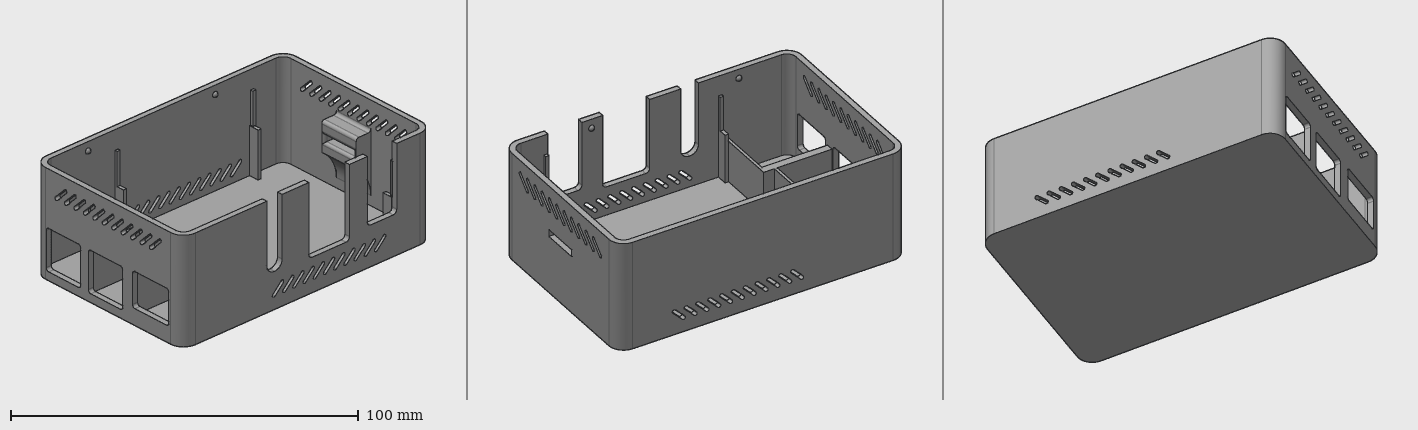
import cadquery as cq
import math

length = 98.0
width = 63.0
height = 36.7
wall = 2.0
floor_thickness = 2.0
corner_radius = 5.0
inner_x = width / 2 - wall
inner_y = length / 2 - wall

vent_count = 11
vent_span = 40.0
vent_width = 1.2
vent_slope = 45
end_vent_run = 3.8
end_vent_z = 30.2
side_vent_run = 3.2
side_vent_y = 8.4
side_vent_z = 6.4

window_radius = 1.0
windows = [
    (-26.2, -11.7, 2.9, 17.15),
    (-8.3, 6.2, 2.9, 17.15),
    (10.4, 25.7, 5.6, 17.7),
]

partition_top = 15.9
partition_thickness = 1.0
left_bays_y = -27.5
right_bay_y = -23.9
left_rib = (-11.1, -8.8)
right_rib = (6.8, 9.3)

notches = [
    (23.4, 34.9, 13.7, 1.4),
    (0.5, 16.4, 11.7, 1.4),
    (-16.0, -10.0, 12.5, 2.9),
]

support_thickness = 1.2
shelf_reach = 3.6
shelf_top = 18.3
stop_reach = 1.0
stop_top = 29.9
supports = [
    (-1, 33.7, 0.4),
    (-1, -19.0, 0.0),
    (1, 34.7, 0.4),
    (1, -23.9, 0.0),
]

detent_radius = 1.0
detent_inset = 0.1
detent_z = 33.6
detent_ys = (20.2, -29.6)

guide_x = (-7.3, 7.35)
guide_front_y = 41.4
guide_top = 26.2
guide_bottom = 15.7
guide_round = 1.1
guide_tail_z = 5.4
slot_x = (-6.2, 6.3)
slot_z = (19.3, 21.7)
slot_rim = 1.0


def box(x_range, y_range, z_range):
    """Axis-aligned block spanning the three (low, high) ranges."""
    sizes = [high - low for low, high in (x_range, y_range, z_range)]
    corner = (x_range[0], y_range[0], z_range[0])
    return cq.Workplane("XY").box(*sizes, centered=False).translate(corner)


def make_shell():
    outer = cq.Workplane("XY").rect(width, length).extrude(height).edges("|Z").fillet(corner_radius)
    cavity = (
        cq.Workplane("XY", origin=(0, 0, floor_thickness))
        .rect(2 * inner_x, 2 * inner_y)
        .extrude(height)
        .edges("|Z")
        .fillet(corner_radius - wall)
    )
    return outer.cut(cavity)


def make_vents(plane, center, run, half_depth):
    """Row of slanted slots, extruded both ways from the given plane through the case."""
    middle, level = center
    pitch = vent_span / (vent_count - 1)
    places = [(middle - vent_span / 2 + i * pitch, level) for i in range(vent_count)]
    slot_length = run / math.cos(math.radians(vent_slope)) + vent_width
    slots = cq.Workplane(plane).pushPoints(places).slot2D(slot_length, vent_width, vent_slope)
    return slots.extrude(half_depth, both=True)


def make_window(left, right, bottom, top):
    front_wall = (-length / 2, -inner_y)
    return box((left, right), front_wall, (bottom, top)).edges("|Y").fillet(window_radius)


def make_partition():
    front = -inner_y - wall / 2
    side = inner_x + wall / 2
    levels = (floor_thickness / 2, partition_top)
    left_wall = box((-side, right_rib[1]), (left_bays_y - partition_thickness, left_bays_y), levels)
    right_wall = box((right_rib[0], side), (right_bay_y - partition_thickness, right_bay_y), levels)
    rib_a = box(left_rib, (front, left_bays_y), levels)
    rib_b = box(right_rib, (front, right_bay_y), levels)
    return left_wall.union(right_wall).union(rib_a).union(rib_b)


def make_notch(front, rear, bottom, radius):
    """Notch across the +X wall with rounded lower corners."""
    opening = box((inner_x, width / 2), (front, rear), (bottom, height))
    return opening.edges("|X and <Z").fillet(radius)


def make_support(side, front, stop_shift):
    def upright(reach, start, top):
        ends = sorted((side * (inner_x - reach), side * (inner_x + wall / 2)))
        return box(ends, (start, start + support_thickness), (floor_thickness / 2, top))

    shelf = upright(shelf_reach, front, shelf_top)
    stop = upright(stop_reach, front + stop_shift, stop_top)
    return shelf.union(stop)


def make_detent(side, y):
    center = (side * (inner_x + detent_inset), y, detent_z)
    return cq.Workplane("YZ").sphere(detent_radius).translate(center)


def make_guide():
    """Block on the rear wall with a rounded top and a concave underside blending into the wall."""
    back = inner_y + wall / 2
    reach = inner_y - guide_front_y
    drop = guide_bottom - guide_tail_z
    under_radius = (reach**2 + drop**2) / (2 * reach)
    half_angle = math.asin(drop / under_radius) / 2
    under_mid = (
        inner_y - under_radius * (1 - math.cos(half_angle)),
        guide_tail_z + under_radius * math.sin(half_angle),
    )
    bend = guide_round * math.sqrt(0.5)
    blend_center = (inner_y - guide_round, guide_top + guide_round)
    nose_center = (guide_front_y + guide_round, guide_top - guide_round)
    profile = (
        cq.Workplane("YZ", origin=(guide_x[0], 0, 0))
        .moveTo(inner_y, guide_tail_z)
        .threePointArc(under_mid, (guide_front_y, guide_bottom))
        .lineTo(guide_front_y, nose_center[1])
        .threePointArc((nose_center[0] - bend, nose_center[1] + bend), (nose_center[0], guide_top))
        .lineTo(blend_center[0], guide_top)
        .threePointArc((blend_center[0] + bend, blend_center[1] - bend), (inner_y, blend_center[1]))
        .lineTo(back, blend_center[1])
        .lineTo(back, guide_tail_z)
        .close()
    )
    return profile.extrude(guide_x[1] - guide_x[0])


def make_card_slot():
    return box(slot_x, (guide_front_y, length / 2), slot_z)


def round_slot_mouth(guide):
    """Round the four edges where the slot opens on the front face of the guide."""
    near = 0.1
    mouth = cq.selectors.BoxSelector(
        (slot_x[0] - near, guide_front_y - near, slot_z[0] - near),
        (slot_x[1] + near, guide_front_y + near, slot_z[1] + near),
    )
    return guide.edges(mouth).fillet(slot_rim)


case = make_shell()
case = case.union(make_partition())
for support in supports:
    case = case.union(make_support(*support))
for detent_y in detent_ys:
    for detent_side in (-1, 1):
        case = case.union(make_detent(detent_side, detent_y))
card_guide = round_slot_mouth(make_guide().cut(make_card_slot()))
case = case.union(card_guide).cut(make_card_slot())
for window in windows:
    case = case.cut(make_window(*window))
for notch in notches:
    case = case.cut(make_notch(*notch))
case = case.cut(make_vents("XZ", (0, end_vent_z), end_vent_run, length / 2))
case = case.cut(make_vents("YZ", (side_vent_y, side_vent_z), side_vent_run, width / 2))

result = case